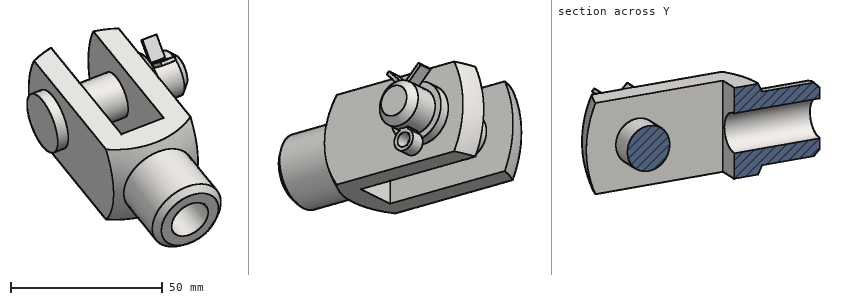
import cadquery as cq
import math


fork_size = 32.0
slot_width = fork_size / 2
slot_end = fork_size
fork_tip = -19.0
tip_radius = 40.0
shoulder_x = 42.5
shoulder_radius = 32.0

shank_diameter = 26.0
shank_end = 64.0
shank_chamfer = 2.2
thread_bore = 13.84

pin_diameter = 16.0
collar_diameter = 20.8
collar_thickness = 4.0
pin_tip = 32.0
pin_chamfer = 2.7

strip_width = 5.35
strip_thickness = 1.35
strip_gap = 0.75
split_pin_y = 24.0
leg_angle = 45.0
leg_bend_z = pin_diameter / 2
leg_top = 13.75
eye_radius = 3.9
eye_bottom = -fork_size / 2


def make_body():
    """Square fork with spherical ends and its round shank, turned about X."""
    corner_radius = fork_size / math.sqrt(2)
    shank_radius = shank_diameter / 2

    def tip_x(radius):
        return tip_center_x - math.sqrt(tip_radius**2 - radius**2)

    def shoulder_arc_x(radius):
        return shoulder_center_x + math.sqrt(shoulder_radius**2 - radius**2)

    tip_center_x = fork_tip + math.sqrt(tip_radius**2 - (slot_width / 2)**2)
    shoulder_center_x = shoulder_x - math.sqrt(shoulder_radius**2 - shank_radius**2)
    tip_mid = corner_radius / 2
    shoulder_mid = (corner_radius + shank_radius) / 2
    turned = (
        cq.Workplane("XY")
        .moveTo(tip_x(0), 0)
        .threePointArc((tip_x(tip_mid), tip_mid), (tip_x(corner_radius), corner_radius))
        .lineTo(shoulder_arc_x(corner_radius), corner_radius)
        .threePointArc((shoulder_arc_x(shoulder_mid), shoulder_mid), (shoulder_x, shank_radius))
        .lineTo(shank_end - shank_chamfer, shank_radius)
        .lineTo(shank_end, shank_radius - shank_chamfer)
        .lineTo(shank_end, 0)
        .close()
        .revolve(360, (0, 0, 0), (1, 0, 0))
    )
    bar_length = 2 * (shank_end - fork_tip)
    square_bar = cq.Workplane("XY").box(bar_length, fork_size, fork_size)
    return turned.intersect(square_bar)


def make_slot():
    """Through slot from beyond the open end to the slot floor."""
    slot_length = 2 * slot_end
    slot = cq.Workplane("XY").box(slot_length, slot_width, fork_size)
    return slot.translate((slot_end - slot_length / 2, 0, 0))


def make_thread_bore():
    """Bore through the shank into the slot."""
    bore = cq.Workplane("YZ").circle(thread_bore / 2)
    return bore.extrude(shank_end)


def make_disc_along_y(diameter, start_y, end_y):
    disc = cq.Workplane("XZ", origin=(0, start_y, 0)).circle(diameter / 2)
    return disc.extrude(start_y - end_y)


def make_cross_pin():
    fork_side = fork_size / 2
    collar_face = fork_side + collar_thickness
    pin = make_disc_along_y(pin_diameter, -fork_side, pin_tip)
    pin = pin.faces(">Y").chamfer(pin_chamfer)
    head = make_disc_along_y(collar_diameter, -collar_face, -fork_side)
    collar = make_disc_along_y(collar_diameter, fork_side, collar_face)
    return pin.union(head).union(collar)


def make_split_pin():
    plane = cq.Workplane("XZ", origin=(0, split_pin_y + strip_width / 2, 0))
    eye_z = eye_bottom + eye_radius
    eye_hole_radius = eye_radius - strip_thickness
    eye = plane.center(0, eye_z).circle(eye_radius).circle(eye_hole_radius).extrude(strip_width)

    inner_x = strip_gap / 2
    stem_width = strip_gap + 2 * strip_thickness
    stem_bottom = eye_z + eye_radius - strip_thickness / 2
    stem = plane.center(0, stem_bottom / 2).rect(stem_width, -stem_bottom).extrude(strip_width)
    split_pin = eye.union(stem)

    angle = math.radians(leg_angle)
    along_x, along_z = math.sin(angle), math.cos(angle)
    thick_x, thick_z = strip_thickness * along_z, -strip_thickness * along_x
    tip_x = inner_x + (leg_top - leg_bend_z) * math.tan(angle)
    for side in (-1, 1):
        leg = plane.polyline([
            (side * inner_x, leg_bend_z),
            (side * tip_x, leg_top),
            (side * (tip_x + thick_x), leg_top + thick_z),
            (side * (inner_x + thick_x), leg_bend_z + thick_z),
        ]).close().extrude(strip_width)
        split_pin = split_pin.union(leg)
    return split_pin


clevis = make_body().cut(make_slot()).cut(make_thread_bore())
result = clevis.union(make_cross_pin()).union(make_split_pin())